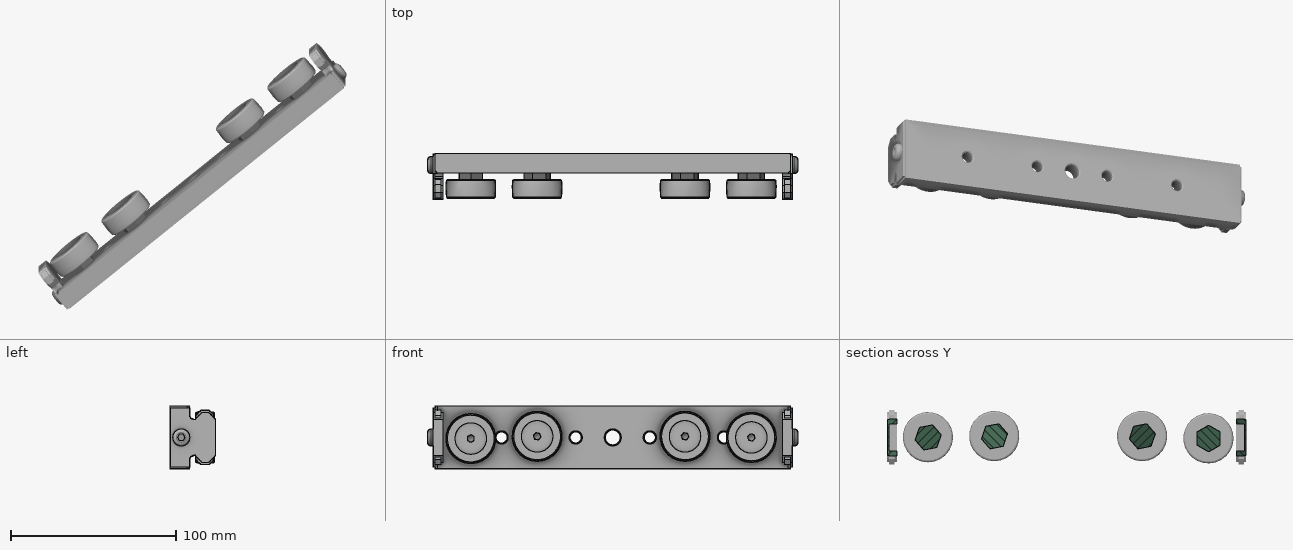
import math

import cadquery as cq

OVERALL_LENGTH = 224.2
OVERALL_DEPTH = 27.8

PLATE_LENGTH = 214.7
PLATE_HEIGHT = 38.0
PLATE_THICKNESS = 11.9
PLATE_CORNER_CHAMFER = 1.3
PLATE_BACK_Y = OVERALL_DEPTH / 2
PLATE_FRONT_Y = PLATE_BACK_Y - PLATE_THICKNESS
PLATE_END_X = PLATE_LENGTH / 2

MOUNTING_HOLE_SPACING = 44.8
MOUNTING_HOLE_COUNT = 4
MOUNTING_HOLE_DIAMETER = 6.7
CENTRE_HOLE_DIAMETER = 9.0
HOLE_CHAMFER = 0.7

ROLLER_PLACES = [
    (-85.8, -0.7, 120.0),
    (-45.7, 0.7, 79.0),
    (43.7, 0.7, 79.0),
    (83.8, 0.0, 79.0),
]
ROLLER_RADIUS = 15.2
ROLLER_CROWN = 0.5
ROLLER_EDGE_CHAMFER = 0.7
ROLLER_BACK_Y = -1.8
ROLLER_WIDTH = 11.5
ROLLER_FRONT_Y = ROLLER_BACK_Y - ROLLER_WIDTH
FACE_RECESS_DIAMETER = 19.0
FACE_RECESS_DEPTH = 1.5
NECK_ACROSS_CORNERS = 16.4
ROLLER_SOCKET_ACROSS_CORNERS = 4.7
ROLLER_SOCKET_DEPTH = 2.2
ROLLER_SOCKET_POINT_DEPTH = 1.3
HEXAGON_TURN = 30.0

LAYER_THICKNESS = 1.3
CORE_THICKNESS = 3.4
NOSE_THICKNESS = 2 * LAYER_THICKNESS + CORE_THICKNESS
WIPER_OUTER_X = PLATE_END_X + LAYER_THICKNESS
END_PLATE_HEIGHT = 35.9
END_PLATE_BACK_Y = 13.5
END_PLATE_FRONT_Y = 1.8
NOTCH_RADIUS = 2.7
NOSE_FRONT_Y = -OVERALL_DEPTH / 2
NOSE_BACK_Y = -1.3
NOSE_HEIGHT = 30.3
NOSE_CHAMFER = 4.3
NECK_HEIGHT = NOSE_HEIGHT - 2 * NOSE_CHAMFER
CORE_HEIGHT = 33.0
CORE_FRONT_Y = -13.0
CORE_BACK_Y = -1.8
CORE_CHAMFER = 3.1
NECK_BACK_Y = 0.0
EAR_HEIGHT = 3.4
EAR_TOP_Z = 11.5

SCREW_HEAD_RADIUS = 5.2
SCREW_DOME_RADIUS = 2.2
SCREW_HEAD_HEIGHT = OVERALL_LENGTH / 2 - WIPER_OUTER_X
SCREW_Y = 7.0
SCREW_SOCKET_ACROSS_CORNERS = 4.5
SCREW_SOCKET_DEPTH = 1.8


def box_between(x_range, y_range, height):
    """Box spanning the given X and Y ranges, centred on Z = 0."""
    length = x_range[1] - x_range[0]
    depth = y_range[1] - y_range[0]
    return (
        cq.Workplane("XY")
        .box(length, depth, height)
        .translate((sum(x_range) / 2, sum(y_range) / 2, 0))
    )


def chamfered_hole(x, diameter):
    """Cutter for a through hole along Y with a chamfer at both plate faces."""
    radius = diameter / 2
    mouth = radius + HOLE_CHAMFER
    return (
        cq.Workplane("XY")
        .moveTo(0, PLATE_FRONT_Y)
        .lineTo(mouth, PLATE_FRONT_Y)
        .lineTo(radius, PLATE_FRONT_Y + HOLE_CHAMFER)
        .lineTo(radius, PLATE_BACK_Y - HOLE_CHAMFER)
        .lineTo(mouth, PLATE_BACK_Y)
        .lineTo(0, PLATE_BACK_Y)
        .close()
        .revolve(360, (0, 0, 0), (0, 1, 0))
        .translate((x, 0, 0))
    )


def make_plate():
    """Carriage plate with chamfered front end corners and a row of holes."""
    plate = box_between((-PLATE_END_X, PLATE_END_X), (PLATE_FRONT_Y, PLATE_BACK_Y), PLATE_HEIGHT)
    plate = plate.faces("<Y").edges("|Z").chamfer(PLATE_CORNER_CHAMFER)
    for index in range(MOUNTING_HOLE_COUNT):
        x = (index - (MOUNTING_HOLE_COUNT - 1) / 2) * MOUNTING_HOLE_SPACING
        plate = plate.cut(chamfered_hole(x, MOUNTING_HOLE_DIAMETER))
    return plate.cut(chamfered_hole(0, CENTRE_HOLE_DIAMETER))


def hexagon_along_y(front_y, back_y, across_corners):
    """Hexagonal prism about the Y axis, reaching from back_y to front_y."""
    return (
        cq.Workplane("XZ", origin=(0, back_y, 0))
        .transformed(rotate=(0, 0, HEXAGON_TURN))
        .polygon(6, across_corners)
        .extrude(back_y - front_y)
    )


def roller_socket(mouth_y):
    """Cutter for a hexagonal socket that ends in a conical point."""
    floor_y = mouth_y + ROLLER_SOCKET_DEPTH
    inscribed_radius = ROLLER_SOCKET_ACROSS_CORNERS / 2 * math.cos(math.pi / 6)
    point = cq.Solid.makeCone(
        inscribed_radius,
        0,
        ROLLER_SOCKET_POINT_DEPTH,
        pnt=cq.Vector(0, floor_y, 0),
        dir=cq.Vector(0, 1, 0),
    )
    return hexagon_along_y(mouth_y, floor_y, ROLLER_SOCKET_ACROSS_CORNERS).union(cq.Workplane(point))


def make_roller(x, z, turn):
    """Crowned roller with a recessed face and socket, on a hexagonal neck."""
    edge_radius = ROLLER_RADIUS - ROLLER_CROWN
    face_radius = edge_radius - ROLLER_EDGE_CHAMFER
    wheel = (
        cq.Workplane("XY")
        .moveTo(0, ROLLER_FRONT_Y)
        .lineTo(face_radius, ROLLER_FRONT_Y)
        .lineTo(edge_radius, ROLLER_FRONT_Y + ROLLER_EDGE_CHAMFER)
        .threePointArc(
            (ROLLER_RADIUS, (ROLLER_FRONT_Y + ROLLER_BACK_Y) / 2),
            (edge_radius, ROLLER_BACK_Y - ROLLER_EDGE_CHAMFER),
        )
        .lineTo(face_radius, ROLLER_BACK_Y)
        .lineTo(0, ROLLER_BACK_Y)
        .close()
        .revolve(360, (0, 0, 0), (0, 1, 0))
    )
    recess_floor_y = ROLLER_FRONT_Y + FACE_RECESS_DEPTH
    recess = (
        cq.Workplane("XZ", origin=(0, recess_floor_y, 0))
        .circle(FACE_RECESS_DIAMETER / 2)
        .extrude(FACE_RECESS_DEPTH)
    )
    neck = hexagon_along_y(ROLLER_BACK_Y, PLATE_FRONT_Y, NECK_ACROSS_CORNERS)
    roller = wheel.union(neck).cut(recess).cut(roller_socket(recess_floor_y))
    return roller.rotate((0, 0, 0), (0, -1, 0), turn).translate((x, 0, z))


def octagon_layer(outer_x, thickness, front_y, back_y, height, chamfer):
    """Block with its four X-direction edges chamfered, starting at outer_x and going inward."""
    block = box_between((outer_x, outer_x + thickness), (front_y, back_y), height)
    return block.edges("|X").chamfer(chamfer)


def notch_fillets(outer_x):
    """Concave fillets between the front edge of the end plate and the neck, top and bottom."""
    corner_z = NECK_HEIGHT / 2
    arc_reach = NOTCH_RADIUS * (1 - math.cos(math.pi / 4))
    upper = (
        cq.Workplane("YZ", origin=(outer_x, 0, 0))
        .moveTo(END_PLATE_FRONT_Y, corner_z)
        .lineTo(END_PLATE_FRONT_Y, corner_z + NOTCH_RADIUS)
        .threePointArc(
            (END_PLATE_FRONT_Y - arc_reach, corner_z + arc_reach),
            (END_PLATE_FRONT_Y - NOTCH_RADIUS, corner_z),
        )
        .close()
        .extrude(LAYER_THICKNESS)
    )
    return upper.union(upper.mirror("XY"))


def make_left_wiper():
    """End plate with a notched neck, an octagonal nose with a core, and ears at the plate."""
    outer_x = -WIPER_OUTER_X
    inner_x = outer_x + NOSE_THICKNESS
    end_plate = box_between(
        (outer_x, -PLATE_END_X), (END_PLATE_FRONT_Y, END_PLATE_BACK_Y), END_PLATE_HEIGHT
    )
    nose = octagon_layer(
        outer_x, NOSE_THICKNESS, NOSE_FRONT_Y, NOSE_BACK_Y, NOSE_HEIGHT, NOSE_CHAMFER
    )
    core = octagon_layer(
        -PLATE_END_X, CORE_THICKNESS, CORE_FRONT_Y, CORE_BACK_Y, CORE_HEIGHT, CORE_CHAMFER
    )
    neck = box_between((outer_x, inner_x), (NOSE_BACK_Y, NECK_BACK_Y), NECK_HEIGHT)
    web = box_between((outer_x, -PLATE_END_X), (NECK_BACK_Y, END_PLATE_FRONT_Y), NECK_HEIGHT)
    wiper = end_plate.union(nose).union(core).union(neck).union(web)
    wiper = wiper.union(notch_fillets(outer_x))
    ear_z = EAR_TOP_Z - EAR_HEIGHT / 2
    ear = box_between((-PLATE_END_X, inner_x), (NECK_BACK_Y, PLATE_FRONT_Y), EAR_HEIGHT)
    for side in (1, -1):
        wiper = wiper.union(ear.translate((0, 0, side * ear_z)))
    return wiper


def make_left_screw():
    """Button head seated on the outside of the wiper, with a hexagonal socket."""
    seat = cq.Workplane("YZ", origin=(-WIPER_OUTER_X, SCREW_Y, 0))
    head = seat.circle(SCREW_HEAD_RADIUS).extrude(-SCREW_HEAD_HEIGHT)
    head = head.faces("<X").edges().fillet(SCREW_DOME_RADIUS)
    socket = (
        cq.Workplane("YZ", origin=(-OVERALL_LENGTH / 2, SCREW_Y, 0))
        .polygon(6, SCREW_SOCKET_ACROSS_CORNERS)
        .extrude(SCREW_SOCKET_DEPTH)
    )
    return head.cut(socket)


plate = make_plate()
rollers = [make_roller(x, z, turn) for x, z, turn in ROLLER_PLACES]
left_wiper = make_left_wiper()
left_screw = make_left_screw()
wipers = [left_wiper, left_wiper.mirror("YZ")]
screws = [left_screw, left_screw.mirror("YZ")]

result = cq.Compound.makeCompound(
    [plate.val()]
    + [roller.val() for roller in rollers]
    + [wiper.val() for wiper in wipers]
    + [screw.val() for screw in screws]
)